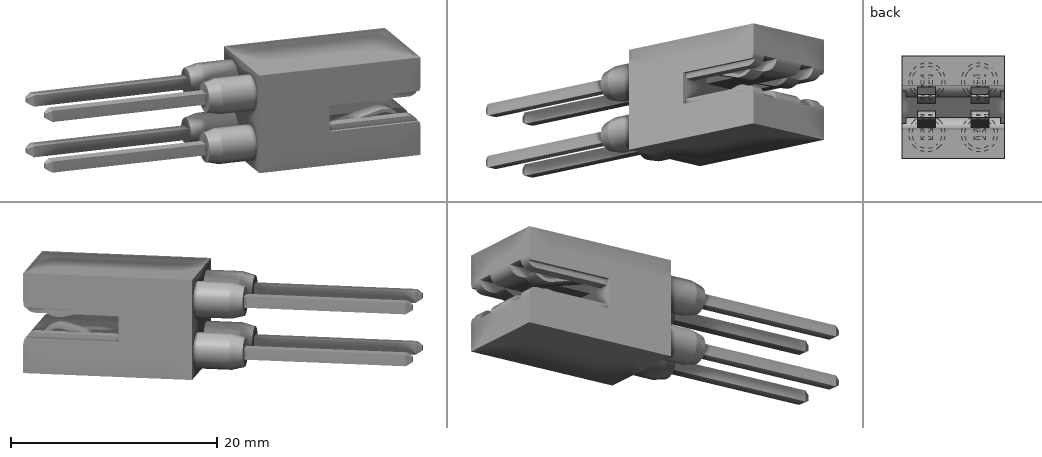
import cadquery as cq
import math

HOUSING_SIDE = 9.95
OVERALL_LENGTH = 37.95
HOUSING_LENGTH = 16.65
PIN_REACH = OVERALL_LENGTH - HOUSING_LENGTH

SLOT_DEPTH = 9.4
SLOT_HALF_HEIGHT = 1.0
SIDE_RECESS_HALF_HEIGHT = 1.55
SIDE_RECESS_WIDTH = 0.38
MOUTH_RADIUS = 1.1
SLOT_END_Y = HOUSING_LENGTH - SLOT_DEPTH

SLEEVE_OFFSET = 2.55
SLEEVE_DIAMETER = 3.53
SLEEVE_RADIUS = SLEEVE_DIAMETER / 2
SLEEVE_END_RADIUS = 1.45
SLEEVE_LENGTH = 4.8
SLEEVE_TAPER_LENGTH = 1.25

PIN_OFFSET = 2.58
PIN_WIDTH = 1.15
PIN_TIP_WIDTH = 0.5
PIN_TIP_LENGTH = 0.57

CHANNEL_WIDTH = 1.75
CHANNEL_DEPTH = 1.0
CONTACT_THICKNESS = 0.35
CONTACT_CREST_HEIGHT = 0.6
CONTACT_CREST_FROM_MOUTH = 3.23
CONTACT_OUTER_RADIUS = 2.05
CONTACT_TIP_ANGLE = 45.0
CONTACT_SLOPE_ANGLE = 15.0
CONTACT_ROOT_EMBED = 0.38


def make_housing():
    block = cq.Workplane("XY").box(HOUSING_SIDE, HOUSING_LENGTH, HOUSING_SIDE)
    return block.translate((0, HOUSING_LENGTH / 2, 0))


def make_slot_cut():
    """Slot through the full width, its two mouth edges flared by a round."""
    mouth_half_height = SLOT_HALF_HEIGHT + MOUTH_RADIUS
    round_start_y = HOUSING_LENGTH - MOUTH_RADIUS
    mid_offset = MOUTH_RADIUS * math.sqrt(0.5)
    mid_y = round_start_y + mid_offset
    mid_z = mouth_half_height - mid_offset
    profile = (
        cq.Workplane("YZ")
        .moveTo(SLOT_END_Y, -SLOT_HALF_HEIGHT)
        .lineTo(round_start_y, -SLOT_HALF_HEIGHT)
        .threePointArc((mid_y, -mid_z), (HOUSING_LENGTH, -mouth_half_height))
        .lineTo(HOUSING_LENGTH, mouth_half_height)
        .threePointArc((mid_y, mid_z), (round_start_y, SLOT_HALF_HEIGHT))
        .lineTo(SLOT_END_Y, SLOT_HALF_HEIGHT)
        .close()
    )
    return profile.extrude(HOUSING_SIDE / 2, both=True)


def make_side_recess_cut(side):
    recess = cq.Workplane("XY").box(SIDE_RECESS_WIDTH, SLOT_DEPTH, 2 * SIDE_RECESS_HALF_HEIGHT)
    x = side * (HOUSING_SIDE - SIDE_RECESS_WIDTH) / 2
    return recess.translate((x, SLOT_END_Y + SLOT_DEPTH / 2, 0))


def make_channel_cut(column):
    """Channel sunk into both slot faces and open at the mouth."""
    height = 2 * (SLOT_HALF_HEIGHT + CHANNEL_DEPTH)
    channel = cq.Workplane("XY").box(CHANNEL_WIDTH, SLOT_DEPTH, height)
    return channel.translate((column * PIN_OFFSET, SLOT_END_Y + SLOT_DEPTH / 2, 0))


def make_contact(column, row):
    """Bent strip: an arc at the free tip running tangent into a straight root in the slot end."""
    crest_y = HOUSING_LENGTH - CONTACT_CREST_FROM_MOUTH
    center_z = -SLOT_HALF_HEIGHT + CONTACT_CREST_HEIGHT - CONTACT_OUTER_RADIUS
    inner_radius = CONTACT_OUTER_RADIUS - CONTACT_THICKNESS
    slope = math.radians(CONTACT_SLOPE_ANGLE)
    root_y = SLOT_END_Y - CONTACT_ROOT_EMBED

    def on_bend(radius, degrees):
        angle = math.radians(degrees)
        return crest_y + radius * math.sin(angle), center_z + radius * math.cos(angle)

    def root_point(radius):
        y, z = on_bend(radius, -CONTACT_SLOPE_ANGLE)
        return root_y, z - (y - root_y) * math.tan(slope)

    strip = (
        cq.Workplane("YZ")
        .moveTo(*root_point(CONTACT_OUTER_RADIUS))
        .lineTo(*on_bend(CONTACT_OUTER_RADIUS, -CONTACT_SLOPE_ANGLE))
        .threePointArc(on_bend(CONTACT_OUTER_RADIUS, 0), on_bend(CONTACT_OUTER_RADIUS, CONTACT_TIP_ANGLE))
        .lineTo(*on_bend(inner_radius, CONTACT_TIP_ANGLE))
        .threePointArc(on_bend(inner_radius, 0), on_bend(inner_radius, -CONTACT_SLOPE_ANGLE))
        .lineTo(*root_point(inner_radius))
        .close()
        .extrude(CHANNEL_WIDTH / 2, both=True)
    )
    if row > 0:
        strip = strip.mirror("XY")
    return strip.translate((column * PIN_OFFSET, 0, 0))


def make_sleeve(column, row):
    straight_length = SLEEVE_LENGTH - SLEEVE_TAPER_LENGTH
    profile = [
        (0, 0),
        (SLEEVE_RADIUS, 0),
        (SLEEVE_RADIUS, -straight_length),
        (SLEEVE_END_RADIUS, -SLEEVE_LENGTH),
        (0, -SLEEVE_LENGTH),
    ]
    sleeve = cq.Workplane("XY").polyline(profile).close().revolve(360, (0, 0, 0), (0, 1, 0))
    return sleeve.translate((column * SLEEVE_OFFSET, 0, row * SLEEVE_OFFSET))


def make_pin(column, row):
    shank_length = PIN_REACH - PIN_TIP_LENGTH
    shank = cq.Workplane("XZ").rect(PIN_WIDTH, PIN_WIDTH).extrude(shank_length)
    tip = (
        cq.Workplane("XZ", origin=(0, -shank_length, 0))
        .rect(PIN_WIDTH, PIN_WIDTH)
        .workplane(offset=PIN_TIP_LENGTH)
        .rect(PIN_TIP_WIDTH, PIN_TIP_WIDTH)
        .loft(ruled=True)
    )
    return shank.union(tip).translate((column * PIN_OFFSET, 0, row * PIN_OFFSET))


result = make_housing().cut(make_slot_cut())
for side in (-1, 1):
    result = result.cut(make_side_recess_cut(side))
    result = result.cut(make_channel_cut(side))

for column in (-1, 1):
    for row in (-1, 1):
        result = result.union(make_contact(column, row))
        result = result.union(make_sleeve(column, row))
        result = result.union(make_pin(column, row))